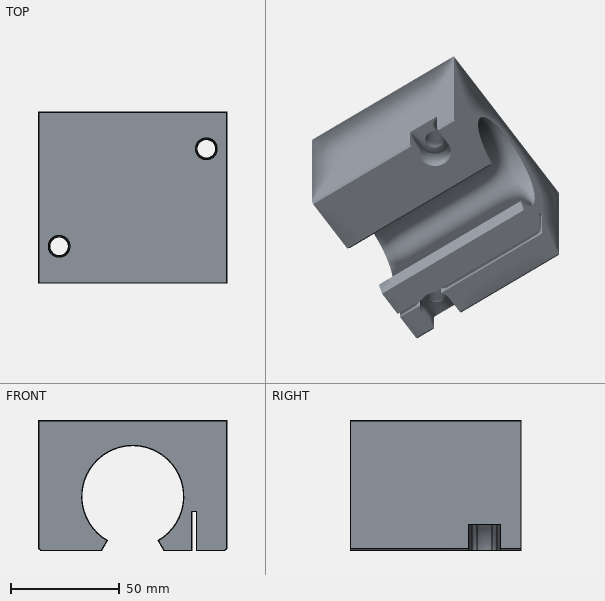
import cadquery as cq
import math

length = 87.0
depth = 79.0
height = 60.0
bottom_chamfer = 1.0

bore_diameter = 47.0
bore_height = 25.0
mouth_half_angle = 30.0

slit_x = 28.4
slit_width = 2.0
slit_height = 18.0

hole_x = 34.0
hole_y = 22.5
hole_diameter = 8.6
upper_hole_diameter = 10.0
upper_hole_depth = 2 * upper_hole_diameter

recess_width = 15.0
recess_height = 12.0


def make_block():
    block = cq.Workplane("XY").box(length, depth, height, centered=(True, True, False))
    return block.faces("<Z").edges("|Y").chamfer(bottom_chamfer)


def make_bore():
    """Round bore joined to a wedge whose sides point at the bore axis."""
    mouth_half_width = bore_height * math.tan(math.radians(mouth_half_angle))
    section = cq.Workplane("XZ")
    bore = section.center(0, bore_height).circle(bore_diameter / 2).extrude(depth / 2, both=True)
    mouth = (
        section.moveTo(0, bore_height)
        .lineTo(-mouth_half_width, 0)
        .lineTo(mouth_half_width, 0)
        .close()
        .extrude(depth / 2, both=True)
    )
    return bore.union(mouth)


def make_slit():
    slit = cq.Workplane("XY").box(slit_width, depth, slit_height, centered=(True, True, False))
    return slit.translate((slit_x, 0, 0))


def make_screw_hole(side):
    """Stepped hole and its recess; side is -1 for the -X -Y corner, +1 for the +X +Y corner."""
    x = side * hole_x
    y = side * hole_y
    side_distance = length / 2 - hole_x
    floor = cq.Workplane("XY").center(x, y)
    top = cq.Workplane("XY", origin=(x, y, height))

    hole = floor.circle(hole_diameter / 2).extrude(height)
    upper_hole = top.circle(upper_hole_diameter / 2).extrude(-upper_hole_depth)
    recess_end = floor.circle(recess_width / 2).extrude(recess_height)
    recess_opening = (
        floor.center(side * side_distance / 2, 0)
        .rect(side_distance, recess_width)
        .extrude(recess_height)
    )
    return hole.union(upper_hole).union(recess_end).union(recess_opening)


result = make_block().cut(make_bore()).cut(make_slit())
for corner_side in (-1, 1):
    result = result.cut(make_screw_hole(corner_side))